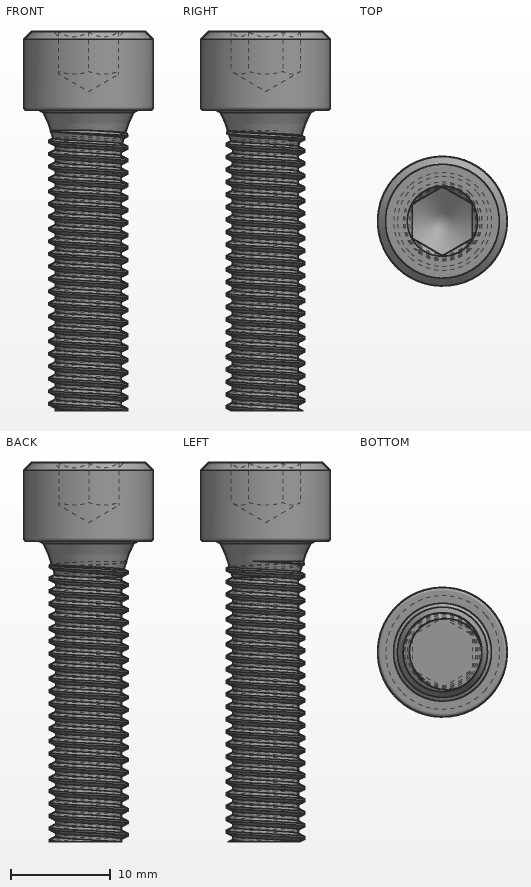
import cadquery as cq
import math

total_length = 38.0
head_diameter = 13.0
head_height = 7.9
head_top_chamfer = 0.8
head_bottom_fillet = 0.35

major_diameter = 7.9
runout_start_z = 27.5
full_turns = 22
pitch = runout_start_z / full_turns
thread_depth = 0.65
crest_width = pitch / 6
root_width = pitch * 3 / 4
first_turn = -2
start_angle = 28.0
root_overlap = 0.08
runout_end_z = 28.35
runout_depth = 0.2
rod_margin = 7.6
limit_radius = 4.55

lip_radius = 4.9
lip_height = 0.23
upper_cone_top_radius = 4.52
upper_cone_height = 1.05
lower_cone_top_radius = 4.03
lower_cone_height = 2.28

socket_across_flats = 6.0
socket_depth = 4.0
socket_floor_slope = 30.0
socket_turn = 30.0
countersink_slope = 45.0
countersink_diameter = 7.03

head_radius = head_diameter / 2
head_bottom_z = total_length - head_height
major_radius = major_diameter / 2
minor_radius = major_radius - thread_depth


def revolve_z(profile):
    """Revolve an XZ half profile about the Z axis."""
    return profile.close().revolve(360, (0, 0, 0), (0, 1, 0))


def make_head():
    """Cylindrical head, chamfered on top and rounded underneath."""
    head = cq.Workplane("XY").workplane(offset=head_bottom_z).circle(head_radius).extrude(head_height)
    head = head.faces(">Z").edges().chamfer(head_top_chamfer)
    return head.faces("<Z").edges().fillet(head_bottom_fillet)


def make_core():
    """Thread core that widens into the head by the cones of the neck."""
    upper_cone_top_z = head_bottom_z - lip_height
    upper_cone_bottom_z = upper_cone_top_z - upper_cone_height
    lower_cone_bottom_z = upper_cone_bottom_z - lower_cone_height
    profile = (
        cq.Workplane("XZ")
        .lineTo(minor_radius, 0)
        .lineTo(minor_radius, lower_cone_bottom_z)
        .lineTo(lower_cone_top_radius, upper_cone_bottom_z)
        .lineTo(upper_cone_top_radius, upper_cone_top_z)
        .lineTo(lip_radius, head_bottom_z)
        .lineTo(0, head_bottom_z)
    )
    return revolve_z(profile)


def make_ridge():
    """Left-handed helical ridge that overshoots the thread at both ends."""
    sunk_radius = minor_radius - root_overlap
    corners = [
        (sunk_radius, -root_width / 2),
        (major_radius, -crest_width / 2),
        (major_radius, crest_width / 2),
        (sunk_radius, root_width / 2),
    ]
    last_turn = math.ceil(runout_end_z / pitch)
    faces = []
    for turn in range(first_turn, last_turn + 1):
        helices = []
        for radius, offset in corners:
            helix = cq.Wire.makeHelix(pitch, pitch, radius, lefthand=True)
            helices.append(helix.translate(cq.Vector(0, 0, turn * pitch + offset)))
        for index, helix in enumerate(helices):
            faces.append(cq.Face.makeRuledSurface(helices[index - 1], helix))
    for turn in (first_turn, last_turn + 1):
        outline = [cq.Vector(radius, 0, turn * pitch + offset) for radius, offset in corners]
        faces.append(cq.Face.makeFromWires(cq.Wire.makePolygon(outline, close=True)))
    ridge = cq.Solid.makeSolid(cq.Shell.makeShell(faces)).fix()
    return cq.Workplane(obj=ridge).rotate((0, 0, 0), (0, 0, 1), start_angle)


def make_threaded_rod():
    """Rod with the ridge, trimmed by the end face and the run-out cone."""
    rod = (
        cq.Workplane("XY")
        .workplane(offset=-rod_margin)
        .circle(minor_radius)
        .extrude(runout_end_z + 2 * rod_margin)
        .union(make_ridge())
    )
    limit = (
        cq.Workplane("XZ")
        .lineTo(limit_radius, 0)
        .lineTo(limit_radius, runout_start_z)
        .lineTo(major_radius, runout_start_z)
        .lineTo(major_radius - runout_depth, runout_end_z)
        .lineTo(0, runout_end_z)
    )
    return rod.intersect(revolve_z(limit))


def make_socket():
    """Hexagon socket with a conical floor and a conical lead-in."""
    corner_radius = socket_across_flats / math.sqrt(3)
    wall_bottom_z = total_length - socket_depth
    floor_drop = corner_radius * math.tan(math.radians(socket_floor_slope))
    tip_z = wall_bottom_z - floor_drop
    hexagon = (
        cq.Workplane("XY")
        .workplane(offset=tip_z)
        .polygon(6, 2 * corner_radius)
        .extrude(total_length - tip_z)
        .rotate((0, 0, 0), (0, 0, 1), socket_turn)
    )
    bore = revolve_z(
        cq.Workplane("XZ", origin=(0, 0, tip_z))
        .lineTo(corner_radius, floor_drop)
        .lineTo(corner_radius, total_length - tip_z)
        .lineTo(0, total_length - tip_z)
    )
    sink_radius = countersink_diameter / 2
    sink_depth = sink_radius * math.tan(math.radians(countersink_slope))
    countersink = revolve_z(
        cq.Workplane("XZ", origin=(0, 0, total_length))
        .lineTo(sink_radius, 0)
        .lineTo(0, -sink_depth)
    )
    return hexagon.intersect(bore).union(countersink)


shank = make_threaded_rod().union(make_core())
result = make_head().union(shank).cut(make_socket())